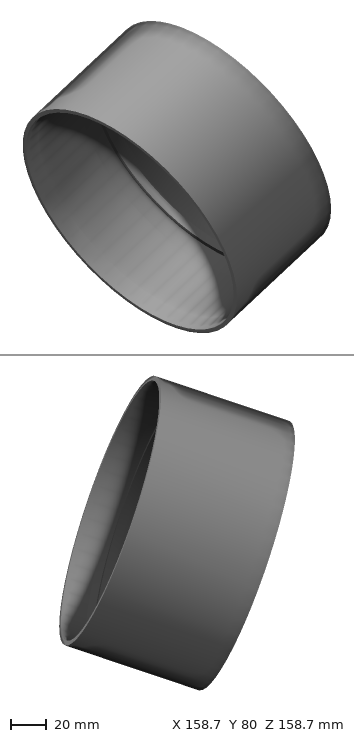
import cadquery as cq

outer_diameter = 158.7
length = 80.0
mouth_diameter = 153.6
socket_diameter = 153.1
seat_diameter = 152.7
stop_diameter = 146.6

stop_start = 55.7
stop_width = 4.9
front_taper_length = 10.5
back_taper_length = 4.5

outer_radius = outer_diameter / 2
mouth_radius = mouth_diameter / 2
socket_radius = socket_diameter / 2
seat_radius = seat_diameter / 2
stop_radius = stop_diameter / 2
stop_end = stop_start + stop_width

wall_section = [
    (outer_radius, 0),
    (mouth_radius, 0),
    (socket_radius, front_taper_length),
    (socket_radius, stop_start - front_taper_length),
    (seat_radius, stop_start),
    (stop_radius, stop_start),
    (stop_radius, stop_end),
    (seat_radius, stop_end),
    (socket_radius, stop_end + back_taper_length),
    (socket_radius, length),
    (outer_radius, length),
]

result = (
    cq.Workplane("XY")
    .polyline(wall_section)
    .close()
    .revolve(360, (0, 0, 0), (0, 1, 0))
    .translate((0, -length / 2, 0))
)